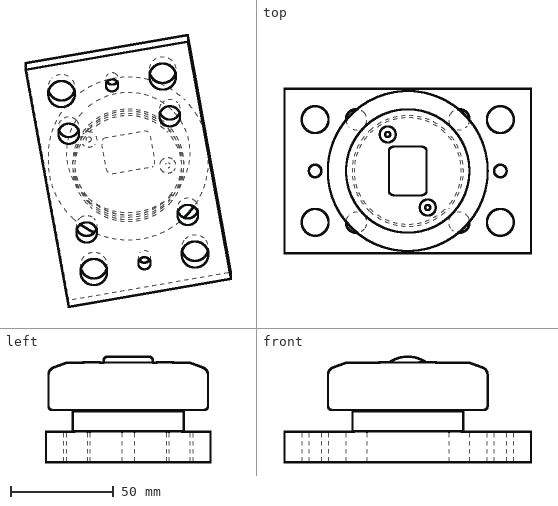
import cadquery as cq
import math

plate_length = 120.0
plate_width = 80.0
plate_thickness = 15.0
hole_row_y = 25.0
end_hole_x = 45.0
corner_hole_diameter = 13.0
dowel_hole_diameter = 6.0
inner_hole_x = 25.0
inner_hole_diameter = 10.1

hub_diameter = 54.0
hub_core_diameter = 52.0
hub_bottom = 15.2
hub_top = 24.8

roller_diameter = 77.8
roller_bottom = 25.5
roller_top = 48.5
flat_top_diameter = 60.0
crown_angle = math.radians(20)
shoulder_fillet = 4.0
lower_fillet = 2.0

total_height = 51.5
pad_width = 18.2
pad_length = 24.0
pad_end_fillet = 2.0

screw_diameter = 7.8
screw_x = -9.7
screw_y = 17.8
screw_height = 0.4
socket_diameter = 2.5
socket_depth = 0.1


def make_plate():
    """Plate with its corner, inner and dowel through holes."""
    plate = cq.Workplane("XY").box(plate_length, plate_width, plate_thickness, centered=(True, True, False))
    hole_sets = [
        (corner_hole_diameter, end_hole_x, [-hole_row_y, hole_row_y]),
        (inner_hole_diameter, inner_hole_x, [-hole_row_y, hole_row_y]),
        (dowel_hole_diameter, end_hole_x, [0]),
    ]
    for diameter, x, rows in hole_sets:
        points = [(side * x, y) for side in (-1, 1) for y in rows]
        holes = cq.Workplane("XY").pushPoints(points).circle(diameter / 2).extrude(plate_thickness)
        plate = plate.cut(holes)
    return plate


def make_cylinder(diameter, bottom, top):
    """Cylinder on the central axis between two heights."""
    return cq.Workplane("XY", origin=(0, 0, bottom)).circle(diameter / 2).extrude(top - bottom)


def make_hub():
    """Hub collar around a narrower core, with a small gap at either end."""
    core = make_cylinder(hub_core_diameter, plate_thickness, roller_bottom)
    collar = make_cylinder(hub_diameter, hub_bottom, hub_top)
    return core.union(collar)


def make_roller():
    """Roller with a conical shoulder and rounded rims."""
    radius = roller_diameter / 2
    flat_radius = flat_top_diameter / 2
    shoulder_z = roller_top - (radius - flat_radius) * math.tan(crown_angle)
    roller = (
        cq.Workplane("XZ")
        .moveTo(0, roller_bottom)
        .lineTo(radius, roller_bottom)
        .lineTo(radius, shoulder_z)
        .lineTo(flat_radius, roller_top)
        .lineTo(0, roller_top)
        .close()
        .revolve()
    )
    roller = roller.edges("%CIRCLE").edges(">>Z[-2]").fillet(shoulder_fillet)
    return roller.edges("<Z").fillet(lower_fillet)


def make_pad():
    """Pad with a cylindrical crown along Y and rounded ends."""
    pad = (
        cq.Workplane("XZ")
        .moveTo(-pad_width / 2, roller_top)
        .threePointArc((0, total_height), (pad_width / 2, roller_top))
        .close()
        .extrude(pad_length / 2, both=True)
    )
    return pad.edges("%CIRCLE").fillet(pad_end_fillet)


def make_screws(diameter, bottom, top):
    """Pair of cylinders at the two screw places."""
    return (
        cq.Workplane("XY", origin=(0, 0, bottom))
        .pushPoints([(screw_x, screw_y), (-screw_x, -screw_y)])
        .circle(diameter / 2)
        .extrude(top - bottom)
    )


screw_top = roller_top + screw_height
result = (
    make_plate()
    .union(make_hub())
    .union(make_roller())
    .union(make_pad())
    .union(make_screws(screw_diameter, roller_top, screw_top))
    .cut(make_screws(socket_diameter, screw_top - socket_depth, screw_top))
)